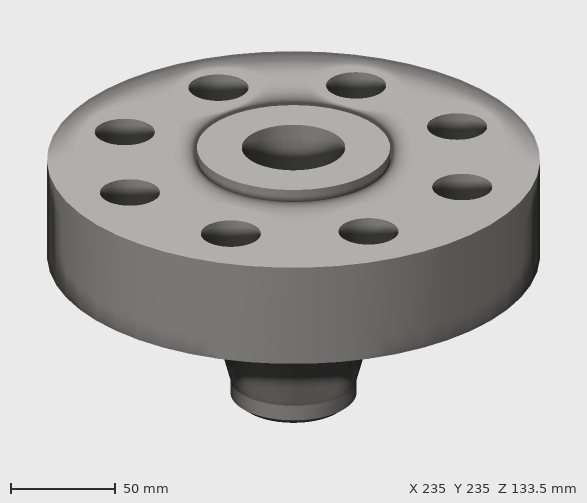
import cadquery as cq

flange_radius = 117.5
flange_thickness = 51.0
face_radius = 46.0
face_height = 6.3

total_height = 133.5
hub_base_radius = 47.7
hub_fillet_radius = 9.6
weld_end_radius = 30.0
weld_end_height = 11.3
bevel_height = 3.5
weld_lip_radius = 25.5

bore_radius = 24.7
bolt_circle_radius = 85.8
bolt_hole_diameter = 28.7
bolt_count = 8

flange_top = total_height - face_height
flange_bottom = flange_top - flange_thickness


def make_body():
    """Flange, raised face, hub and bore as one half section turned about Z."""
    half_section = [
        (bore_radius, 0),
        (weld_lip_radius, 0),
        (weld_end_radius, bevel_height),
        (weld_end_radius, weld_end_height),
        (hub_base_radius, flange_bottom),
        (flange_radius, flange_bottom),
        (flange_radius, flange_top),
        (face_radius, flange_top),
        (face_radius, total_height),
        (bore_radius, total_height),
    ]
    return cq.Workplane("XZ").polyline(half_section).close().revolve(360, (0, 0), (0, 1))


def blend_hub(body):
    """Round the inside corner where the taper meets the underside of the disc."""
    margin = 0.2
    underside_height = cq.selectors.BoxSelector(
        (-flange_radius, -flange_radius, flange_bottom - margin),
        (flange_radius, flange_radius, flange_bottom + margin),
    )
    smallest_circle = cq.selectors.RadiusNthSelector(0)
    underside_edges = body.edges("%CIRCLE").edges(underside_height)
    return underside_edges.edges(smallest_circle).fillet(hub_fillet_radius)


def make_bolt_holes():
    """Ring of cylinders that cut the bolt holes through the disc."""
    return (
        cq.Workplane("XY")
        .workplane(offset=flange_bottom)
        .polarArray(bolt_circle_radius, 0, 360, bolt_count)
        .circle(bolt_hole_diameter / 2)
        .extrude(flange_thickness)
    )


result = blend_hub(make_body()).cut(make_bolt_holes())